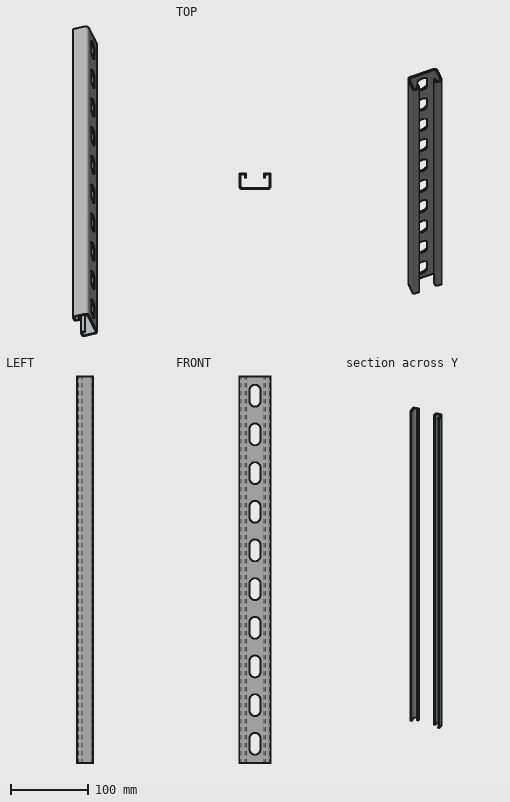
import cadquery as cq

length = 500.0
width = 41.0
depth = 21.0
wall = 2.0

web_bend_radius = 4.5
lip_bend_radius = 2.5

mouth_width = 22.0
lip_depth = 6.0

slot_count = 10
slot_length = 28.0
slot_width = 14.0
slot_pitch = length / slot_count

web_y = -depth / 2
mouth_y = depth / 2


def upright_bar(x_min, x_max, y_min, y_max):
    """Full-length rectangular bar standing on Z = 0."""
    return cq.Workplane("XY").box(
        x_max - x_min, y_max - y_min, length, centered=False
    ).translate((x_min, y_min, 0))


def half_channel():
    """The +X half of the folded sheet, from the middle of the web to the lip."""
    side_x = width / 2
    lip_x = mouth_width / 2

    outside = (
        upright_bar(0, side_x, web_y, mouth_y)
        .cut(upright_bar(0, lip_x, web_y + wall, mouth_y))
    )
    outside = outside.edges("|Z and >X and <Y").fillet(web_bend_radius)
    outside = outside.edges("|Z and >Y").fillet(lip_bend_radius)

    space_beside_lip = (
        upright_bar(lip_x + wall, side_x - wall, web_y + wall, mouth_y - wall)
        .edges("|Z and >X and <Y").fillet(web_bend_radius - wall)
        .edges("|Z and >Y").fillet(lip_bend_radius - wall)
    )
    space_below_lip = upright_bar(lip_x, lip_x + wall, web_y + wall, mouth_y - lip_depth)
    return outside.cut(space_beside_lip).cut(space_below_lip)


def web_slots():
    """Upright round-ended slots, evenly spaced and cut through the web only."""
    centres = [(0, slot_pitch * (i + 0.5)) for i in range(slot_count)]
    return (
        cq.Workplane("XZ", origin=(0, web_y + wall, 0))
        .pushPoints(centres)
        .slot2D(slot_length, slot_width, 90)
        .extrude(wall)
    )


half = half_channel()
channel = half.union(half.mirror("YZ")).clean()
result = channel.cut(web_slots())